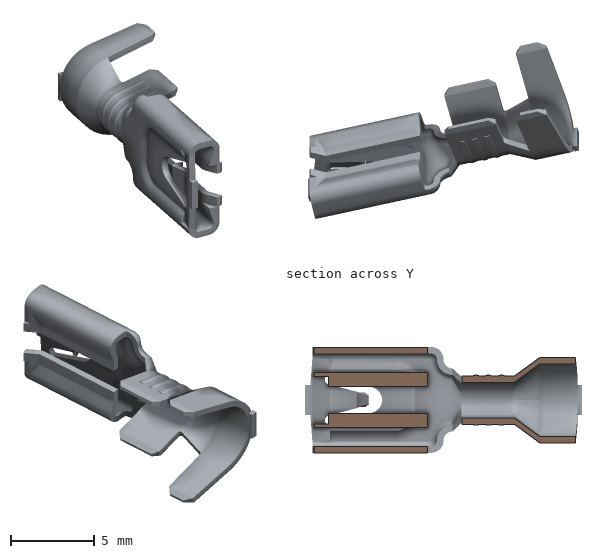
import cadquery as cq
import math


sheet = 0.4
length = 16.64
half_width = 3.4
height = 5.45
base_y = 0.52
wing_slope = 15.0
wing_turn = 90 - wing_slope

insulation_start = 0.27
insulation_end = 2.53
wire_start = 4.06
wire_end = 7.24
neck_start = 7.77
body_start = 9.27
body_end = 16.2
body_nose = 16.32

insulation_radius = 2.68
insulation_edge_lean = 0.38
wire_radius = 1.4
wire_top_y = 4.56
tip_drop = 0.45
tip_thickness = 0.2
tip_corner = 0.35
insulation_rear_corner = 0.47
tab_half_width = 0.9

funnel_rear_leg = 0.07
funnel_front_leg = 0.68
neck_rear_leg = 0.15
neck_leg = 0.02
trough_split = 25

bead_first_x = 4.86
bead_pitch = 0.77
bead_count = 3
bead_width = 0.4
bead_rise = 0.05
bead_root = 0.08
bead_leg = 1.71

body_half_width = 3.18
bend = 0.72
body_top_y = 2.66
roll_slope = 20.0
roll_slope_length = 0.67
lip_bend = 0.5
lip_edge_z = 0.8
mouth_lean = 0.13

shoulder_inner_radius = 0.55
shoulder_outer_radius = 0.73
edge_fillet = 0.17

panel_start = 9.42
panel_half_width = 2.48
panel_depth = 0.33
panel_round_width = 0.63
panel_corner = 1.8
lead_in_start = 15.15
panel_inner_y = base_y + panel_depth + sheet

flare_peak_x = 15.95
flare_peak_y = 2.88

slot_radius = 0.78
slot_rear = 12.01
slot_arc = 80
slot_end_x = 15.15
slot_end_outer_z = 1.53
tongue_root_half = 0.92
tongue_neck_x = 13.43
tongue_neck_half = 0.47
latch_half = 0.43
latch_tip_half = 0.25
latch_tip_x = 12.8
latch_tip_y = 1.85
latch_tip_rise = 0.05
latch_overlap = 0.08
latch_bend_middle = (13.26, 0.92)
latch_bend_end = (13.13, 1.06)

diagonal = math.sqrt(0.5)
overcut = 0.17
pick = 0.02
pick_wide = 0.07


def direction(angle):
    """Unit vector (y, z) for a heading measured from +Z towards +Y."""
    return math.sin(math.radians(angle)), math.cos(math.radians(angle))


def side_step(point, angle, distance):
    """Move a (y, z) point to the inner side of the heading."""
    along_y, along_z = direction(angle)
    return point[0] + distance * along_z, point[1] - distance * along_y


def trace(start_y, segments):
    """Follow ('line', length) and ('arc', radius, turn) pieces along the outer face from Z = 0."""
    point, angle = (start_y, 0.0), 0.0
    pieces = []
    for kind, size, *turn in segments:
        start, start_angle = point, angle
        if kind == "line":
            along_y, along_z = direction(angle)
            point = (start[0] + size * along_y, start[1] + size * along_z)
            middle = None
        else:
            center = side_step(start, angle, size)
            angle = start_angle + turn[0]
            middle_angle = start_angle + turn[0] / 2
            middle = (side_step(center, middle_angle, -size), middle_angle)
            point = side_step(center, angle, -size)
        pieces.append(((start, start_angle), middle, (point, angle)))
    return pieces


def draw_side(sketch, pieces, depth, backwards=False):
    """Draw one face of the sheet, depth below the outer face."""
    for start, middle, end in (reversed(pieces) if backwards else pieces):
        target = side_step(*(start if backwards else end), depth)
        if middle is None:
            sketch = sketch.lineTo(*target)
        else:
            sketch = sketch.threePointArc(side_step(*middle, depth), target)
    return sketch


def section(x, start_y, segments):
    """Closed sheet section in a YZ plane."""
    pieces = trace(start_y, segments)
    sketch = cq.Workplane("YZ", origin=(x, 0, 0)).moveTo(start_y, 0)
    sketch = draw_side(sketch, pieces, 0)
    sketch = sketch.lineTo(*side_step(*pieces[-1][2], sheet))
    sketch = draw_side(sketch, pieces, sheet, backwards=True)
    return sketch.close()


def ruled(first, second):
    """Ruled solid between two sections with matching edges."""
    wires = [first.val(), second.val()]
    return cq.Workplane("XY").newObject([cq.Solid.makeLoft(wires, True)])


def box(x0, x1, y0, y1, z0, z1):
    """Block between two opposite corners."""
    return cq.Workplane("XY").box(x1 - x0, y1 - y0, z1 - z0, centered=False).translate((x0, y0, z0))


def crimp_barrel(start, end, start_y, radius, top_y, edge_lean, rear_corner):
    """U barrel with a leaning wing that ends in a tapered, corner-cut tip."""
    shoulder_y = top_y - tip_drop
    leg_rise = shoulder_y - start_y - radius * (1 - math.cos(math.radians(wing_turn)))
    leg = leg_rise / math.cos(math.radians(wing_slope))
    segments = [("arc", radius, wing_turn), ("line", leg)]
    barrel = section(start, start_y, segments).extrude(end - start)
    if edge_lean:
        wedge = (cq.Workplane("XY").moveTo(start, sheet).lineTo(start + edge_lean, shoulder_y)
                 .lineTo(start + edge_lean, height).lineTo(start, height)
                 .close().extrude(half_width + sheet))
        barrel = barrel.cut(wedge)

    edge, angle = trace(start_y, segments)[-1][2]
    middle_y, middle_z = side_step(edge, angle, sheet / 2)
    along_y, along_z = direction(angle)
    tip_length = (top_y - middle_y - tip_thickness / 2 * along_z) / along_y
    rear = start + edge_lean
    tip_rear = rear + rear_corner
    tip_front = end - tip_corner
    root_plane = cq.Plane(((rear + end) / 2, middle_y, middle_z), (1, 0, 0), (0, along_y, along_z))
    tip_shift = (tip_rear + tip_front - rear - end) / 2
    tip = (cq.Workplane(root_plane).rect(end - rear, sheet)
           .workplane(offset=tip_length).center(tip_shift, 0)
           .rect(tip_front - tip_rear, tip_thickness).loft(ruled=True))
    return barrel.union(tip)


def insulation_barrel():
    """Large rear barrel with its carrier tab."""
    barrel = crimp_barrel(insulation_start, insulation_end, 0, insulation_radius,
                          height, insulation_edge_lean, insulation_rear_corner)
    return barrel.union(box(0, insulation_start, 0, sheet, 0, tab_half_width))


def wire_barrel():
    """Small barrel with raised beads across its outer face."""
    barrel = crimp_barrel(wire_start, wire_end, base_y, wire_radius, wire_top_y, 0, tip_corner)
    pieces = trace(base_y, [("arc", wire_radius, wing_turn), ("line", bead_leg)])
    for index in range(bead_count):
        x = bead_first_x + index * bead_pitch
        path = draw_side(cq.Workplane("YZ", origin=(x, 0, 0)).moveTo(base_y, 0), pieces, 0).wire()
        bead = (cq.Workplane("XY").moveTo(x - bead_width / 2, base_y)
                .threePointArc((x, base_y - bead_rise), (x + bead_width / 2, base_y))
                .lineTo(x + bead_width / 2, base_y + bead_root)
                .lineTo(x - bead_width / 2, base_y + bead_root).close()
                .sweep(path))
        barrel = barrel.union(bead)
    return barrel


def funnel():
    """Tapered trough from the insulation barrel to the wire barrel."""
    rear = section(insulation_end, 0,
                   [("arc", insulation_radius, wing_turn), ("line", funnel_rear_leg)])
    front = section(wire_start, base_y, [("arc", wire_radius, wing_turn), ("line", funnel_front_leg)])
    return ruled(rear, front)


def neck_transition():
    """Trough that flattens from the round wire barrel to the flat-floored neck."""
    neck_half_width = body_half_width - shoulder_inner_radius - shoulder_outer_radius
    rear = section(wire_end, base_y, [("arc", wire_radius, trough_split),
                                      ("arc", wire_radius, wing_turn - trough_split),
                                      ("line", neck_rear_leg)])
    front = section(neck_start, base_y, [("line", neck_half_width - bend),
                                         ("arc", bend, 90), ("line", neck_leg)])
    return ruled(rear, front)


def shoulder_block(inset):
    """Solid S-shouldered floor block with a rounded lower edge, inset from the outer face."""
    concave = shoulder_inner_radius + inset
    convex = shoulder_outer_radius - inset
    center_rear = neck_start
    center_front = neck_start + shoulder_inner_radius + shoulder_outer_radius
    center_z = body_half_width - shoulder_outer_radius
    meeting = (center_rear + concave, center_z)
    bottom = base_y + inset
    block = (cq.Workplane("XZ", origin=(0, bottom, 0)).moveTo(neck_start, 0)
             .lineTo(neck_start, center_z - concave)
             .threePointArc((center_rear + concave * diagonal, center_z - concave * diagonal), meeting)
             .threePointArc((center_front - convex * diagonal, center_z + convex * diagonal),
                            (center_front, center_z + convex))
             .lineTo(body_start, center_z + convex).lineTo(body_start, 0).close()
             .extrude(-(bend + neck_leg - inset)))
    edges = cq.selectors.BoxSelector((neck_start + pick, bottom - pick, pick),
                                     (body_start - pick, bottom + pick, half_width))
    return block.edges(edges).fillet(bend - inset)


def neck():
    """Shallow tray that widens through the two shoulders."""
    return shoulder_block(0).cut(shoulder_block(sheet))


def flare(lip_start, lip_y):
    """Lip edge bent outwards at the mouth, with a corner that runs out on the roll."""
    run = flare_peak_x - lead_in_start
    rise = flare_peak_y - lip_y
    slope = math.atan2(rise, run)
    step_x = sheet * math.sin(slope)
    step_y = sheet * math.cos(slope)
    lip = (cq.Workplane("XY", origin=(0, 0, lip_edge_z)).moveTo(lead_in_start, lip_y)
           .lineTo(flare_peak_x, flare_peak_y).lineTo(flare_peak_x + step_x, flare_peak_y - step_y)
           .lineTo(lead_in_start + step_x, lip_y - step_y).lineTo(lead_in_start, lip_y - sheet)
           .close().extrude(lip_start - lip_edge_z))
    corner = (cq.Workplane("YZ", origin=(lead_in_start, 0, 0)).moveTo(lip_y - sheet / 2, lip_start)
              .lineTo(body_top_y, lip_start).lineTo(body_top_y, body_half_width - bend)
              .close().extrude(body_end - lead_in_start))
    under_slope = (cq.Workplane("XY").moveTo(lead_in_start, lip_y).lineTo(flare_peak_x, flare_peak_y)
                   .lineTo(body_end, flare_peak_y).lineTo(body_end, base_y)
                   .lineTo(lead_in_start, base_y).close().extrude(body_half_width))
    return lip.union(corner.intersect(under_slope))


def rolled_body():
    """Floor, side wall and inward roll, with flared lips and the mouth slanted back."""
    slope = math.radians(roll_slope)
    lip_start = (body_half_width - bend - (bend + lip_bend) * math.sin(slope)
                 - roll_slope_length * math.cos(slope))
    lip_y = (body_top_y - (bend + lip_bend) * (1 - math.cos(slope))
             - roll_slope_length * math.sin(slope))
    body = section(body_start, base_y, [
        ("line", body_half_width - bend),
        ("arc", bend, 90),
        ("line", body_top_y - base_y - 2 * bend),
        ("arc", bend, 90 + roll_slope),
        ("line", roll_slope_length),
        ("arc", -lip_bend, -roll_slope),
        ("line", lip_start - lip_edge_z),
    ]).extrude(body_end - body_start)
    flat_lip = box(lead_in_start, length, panel_inner_y, height, 0, lip_start)
    body = body.cut(flat_lip).union(flare(lip_start, lip_y))
    slant = (cq.Workplane("XY").moveTo(body_end, base_y + sheet)
             .lineTo(body_end - mouth_lean, body_top_y).lineTo(body_end - mouth_lean, height)
             .lineTo(length, height).lineTo(length, base_y + sheet).close().extrude(half_width))
    return body.cut(slant)


def mouth_floor():
    """Shallow pointed floor edge and the carrier tab ahead of it."""
    nose = (cq.Workplane("XZ", origin=(0, base_y, 0)).moveTo(body_end - sheet, 0)
            .lineTo(body_nose, 0).lineTo(body_nose, tab_half_width)
            .lineTo(body_end, body_half_width - bend)
            .lineTo(body_end - sheet, body_half_width - bend).close().extrude(-sheet))
    return nose.union(box(body_end, length, base_y, base_y + sheet, 0, tab_half_width))


def panel_press():
    """Space pressed in from below: a rounded rim, a flat floor and a ramp out to the mouth."""
    rim = (panel_round_width ** 2 + panel_depth ** 2) / (2 * panel_depth)
    rear = panel_start + rim
    side = panel_half_width - rim
    corner = panel_corner - rim
    far = length + rim
    window = (cq.Workplane("XZ", origin=(0, base_y, 0)).moveTo(rear, -overcut)
              .lineTo(rear, side - corner)
              .threePointArc((rear + corner * (1 - diagonal), side - corner * (1 - diagonal)),
                             (rear + corner, side))
              .lineTo(far, side).lineTo(far, -overcut).close().extrude(-2 * rim))
    die = box(panel_start - overcut, far, base_y, base_y + 2 * rim, -overcut, half_width).cut(window)
    rim_edges = cq.selectors.BoxSelector((rear - pick, base_y - pick, pick - overcut),
                                         (far - pick, base_y + pick, side + pick))
    die = die.edges(rim_edges).fillet(rim)
    floor = (cq.Workplane("XY").moveTo(panel_start - overcut, base_y)
             .lineTo(panel_start - overcut, base_y + panel_depth)
             .lineTo(lead_in_start, base_y + panel_depth).lineTo(body_end, base_y)
             .close().extrude(panel_half_width))
    ramp = floor.intersect(box(lead_in_start, body_end, 0, height, 0, panel_half_width))
    return floor.cut(die).union(ramp)


def tongue_slot():
    """Opening around the locking tongue, through the pressed panel."""
    end_z = (slot_end_outer_z + tongue_root_half) / 2
    end_radius = (slot_end_outer_z - tongue_root_half) / 2
    rear_points = []
    for degrees in (slot_arc / 2, slot_arc):
        sine, cosine = direction(degrees)
        rear_points.append((slot_rear + slot_radius * (1 - cosine), slot_radius * sine))
    return (cq.Workplane("XZ", origin=(0, base_y, 0)).moveTo(slot_rear, 0)
            .threePointArc(*rear_points)
            .lineTo(slot_end_x, slot_end_outer_z)
            .threePointArc((slot_end_x + end_radius, end_z), (slot_end_x, tongue_root_half))
            .lineTo(tongue_neck_x, tongue_neck_half).lineTo(tongue_neck_x, 0)
            .close().extrude(base_y - panel_inner_y))


def latch():
    """Tip of the locking tongue, bent up into the receptacle and tapered."""
    panel_y = panel_inner_y - sheet
    profile = (cq.Workplane("XY").moveTo(tongue_neck_x + latch_overlap, panel_y)
               .lineTo(tongue_neck_x, panel_y)
               .threePointArc(latch_bend_middle, latch_bend_end)
               .lineTo(latch_tip_x, latch_tip_y - latch_tip_rise)
               .lineTo(latch_tip_x + latch_tip_rise, latch_tip_y)
               .lineTo(tongue_neck_x + latch_overlap, panel_inner_y)
               .close().extrude(latch_half))
    taper = (cq.Workplane("YZ", origin=(latch_tip_x, 0, 0)).moveTo(base_y, 0)
             .lineTo(base_y, latch_half).lineTo(panel_inner_y, latch_half)
             .lineTo(latch_tip_y, latch_tip_half).lineTo(latch_tip_y, 0)
             .close().extrude(slot_end_x - latch_tip_x))
    return profile.intersect(taper)


def receptacle():
    """Rolled body with the pressed floor panel and the locking tongue."""
    press = panel_press()
    inner_bump = press.translate((0, sheet, 0))
    body = rolled_body().union(mouth_floor()).union(inner_bump).cut(press)
    return body.cut(tongue_slot()).union(latch())


def near(x, y):
    """Selector for the edges across the sheet close to one X, Y place."""
    return cq.selectors.BoxSelector((x - pick_wide, y - pick_wide, 0),
                                    (x + pick_wide, y + pick_wide, half_width))


half = insulation_barrel().union(funnel()).union(wire_barrel())
half = half.union(neck_transition()).union(neck()).union(receptacle())
funnel_edge = trace(base_y, [("arc", wire_radius, wing_turn), ("line", funnel_front_leg)])[-1][2]
funnel_edge_y, _ = side_step(*funnel_edge, sheet / 2)
half = half.edges(near(wire_start, funnel_edge_y)).fillet(edge_fillet)
half = half.edges(near(body_start, base_y + bend + neck_leg)).fillet(edge_fillet)
result = half.union(half.mirror("XY"))